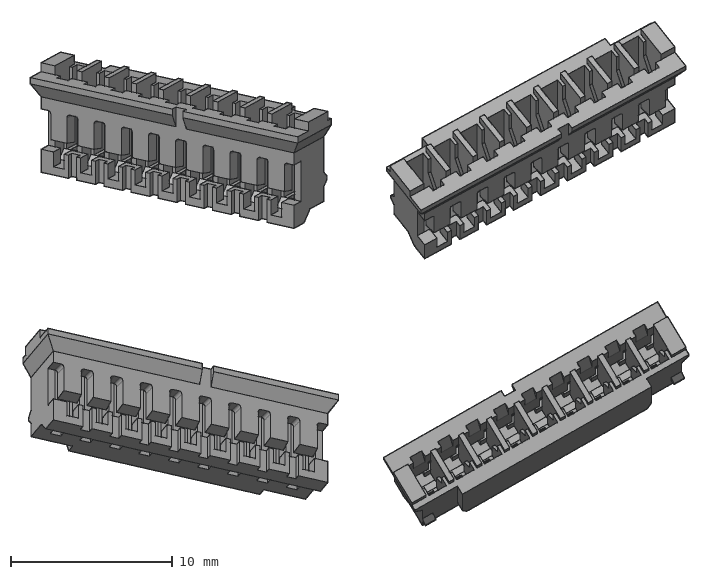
import cadquery as cq
import math

pitch = 2.0
cell_count = 9
cell_xs = [(i - (cell_count - 1) / 2) * pitch for i in range(cell_count)]
wall_xs = [(i - cell_count / 2) * pitch for i in range(1, cell_count)]

body_length = 18.62
body_front = -1.83
body_back = 1.64
body_bottom = 0.7
ledge_top = 1.54
heel_start = 0.04

flange_length = 19.7
flange_front = -2.25
flange_top = 6.3
flange_edge = 5.9
flange_root = 5.0
wall_top = 6.9
key_width = 0.77
key_x = pitch / 2

plate_length = 13.6
plate_back = 2.25
plate_taper_top = 1.65
plate_taper = 0.32

wall_thickness = 0.35
cell_width = pitch - wall_thickness
cell_front = -1.0
cell_back = 1.26
cell_floor = 0.55
ramp_start = -0.51
pocket_front = 0.04
pocket_width = 1.25
pocket_floor = cell_floor + pocket_front - ramp_start
shoulder_y = 0.69
shoulder_low = 3.7
shoulder_high = 4.8
hole_length = 0.7
hole_width = 0.67
hole_y = 0.47

lead_width = 0.83
lead_front = -1.42
lead_angle = 75

slot_width = 0.8
end_slot_width = 2 * slot_width
slot_taper = 0.05
slot_top = 4.2
slot_radius = 0.2
latch_tip_front = 2.3
latch_tip_back = 2.15

window_width = 0.79
groove_width = 0.61
groove_depth = 0.4

bump_width = 0.75
bump_height = 0.37
bump_low = 1.7
bump_high = 2.64


def centred_box(x, width, y0, y1, z0, z1):
    """Box centred on x, spanning the given Y and Z ranges."""
    middle = (x, (y0 + y1) / 2, (z0 + z1) / 2)
    return cq.Workplane("XY").box(width, y1 - y0, z1 - z0).translate(middle)


def side_prism(points, x, width):
    """Extrude a (Y, Z) outline over a width centred on x."""
    return cq.Workplane("YZ", origin=(x - width / 2, 0, 0)).polyline(points).close().extrude(width)


def body():
    """Plain housing block with a sloping underside behind the ledge."""
    outline = [
        (body_front, 0),
        (heel_start - body_bottom, 0),
        (heel_start, body_bottom),
        (body_back, body_bottom),
        (body_back, flange_top),
        (body_front, flange_top),
    ]
    return side_prism(outline, 0, body_length)


def flange():
    """Rim with a bevel below it on the front and both ends, and a key gap in the front."""
    def outline(length, front, z):
        half = length / 2
        corners = [(-half, front, z), (half, front, z), (half, body_back, z), (-half, body_back, z)]
        return cq.Wire.makePolygon([cq.Vector(*corner) for corner in corners], close=True)

    rim = centred_box(0, flange_length, flange_front, body_back, flange_edge, flange_top)
    bevel_bottom = outline(body_length, body_front, flange_root)
    bevel_top = outline(flange_length, flange_front, flange_edge)
    bevel = cq.Workplane(cq.Solid.makeLoft([bevel_bottom, bevel_top], True))
    key = centred_box(key_x, key_width, flange_front, body_front, flange_root, flange_top)
    return rim.union(bevel).cut(key)


def rear_plate():
    """Plate on the back whose ends taper inwards near the bottom."""
    half = plate_length / 2
    outline = [
        (-half, flange_top),
        (-half, plate_taper_top),
        (-half + plate_taper, body_bottom),
        (half - plate_taper, body_bottom),
        (half, plate_taper_top),
        (half, flange_top),
    ]
    thickness = plate_back - body_back
    return cq.Workplane("XZ", origin=(0, plate_back, 0)).polyline(outline).close().extrude(thickness)


def bump(x):
    """Retaining bump with 45 degree flanks on the back face."""
    tip = body_back + bump_height
    outline = [
        (body_back, bump_low),
        (tip, bump_low + bump_height),
        (tip, bump_high - bump_height),
        (body_back, bump_high),
    ]
    return side_prism(outline, x, bump_width)


def cell(x):
    """Space for one terminal: open bay, narrower rear pocket, lead-in groove, window and contact hole."""
    bay = [
        (cell_front, flange_top),
        (cell_front, cell_floor),
        (ramp_start, cell_floor),
        (pocket_front, pocket_floor),
        (pocket_front, shoulder_low),
        (shoulder_y, shoulder_high),
        (shoulder_y, flange_top),
    ]
    lead_depth = (cell_front - lead_front) * math.tan(math.radians(lead_angle))
    lead = [(lead_front, flange_top), (cell_front, flange_top - lead_depth), (cell_front, flange_top)]
    space = side_prism(bay, x, cell_width)
    space = space.union(centred_box(x, pocket_width, pocket_front, cell_back, pocket_floor, flange_top))
    space = space.union(side_prism(lead, x, lead_width))
    space = space.union(centred_box(x, window_width, body_front, cell_front, cell_floor, ledge_top))
    hole_front = hole_y - hole_width / 2
    return space.union(centred_box(x, hole_length, hole_front, hole_front + hole_width, 0, pocket_floor))


def latch_slot(x, width):
    """Gap beside a latch arm, rounded at the top and narrowing towards the back."""
    def mouth(half, y):
        corner_z = slot_top - slot_radius
        outline = (
            cq.Workplane("XZ", origin=(x, y, 0))
            .moveTo(-half, ledge_top)
            .lineTo(half, ledge_top)
            .lineTo(half, corner_z)
            .radiusArc((half - slot_radius, slot_top), -slot_radius)
            .lineTo(-half + slot_radius, slot_top)
            .radiusArc((-half, corner_z), -slot_radius)
            .close()
        )
        return outline.wire().val()

    front = mouth(width / 2, body_front)
    back = mouth(width / 2 - slot_taper, cell_front)
    return cq.Workplane(cq.Solid.makeLoft([front, back], True))


def latch_tip_gap():
    """Opening between the ledge and the sloping tips of the latch arms."""
    outline = [
        (body_front, ledge_top),
        (cell_front, ledge_top),
        (cell_front, latch_tip_back),
        (body_front, latch_tip_front),
    ]
    return side_prism(outline, 0, body_length)


bump_x = (body_length - bump_width) / 2
result = body().union(flange()).union(rear_plate())
for side in (-1, 1):
    result = result.union(bump(side * bump_x))

for x in cell_xs:
    result = result.cut(cell(x))

post_length = (flange_length - cell_count * pitch + wall_thickness) / 2
post_x = (flange_length - post_length) / 2
uprights = [(x, wall_thickness) for x in wall_xs]
uprights += [(-post_x, post_length), (post_x, post_length)]
for x, width in uprights:
    result = result.union(centred_box(x, width, cell_front, cell_back, flange_top, wall_top))

result = result.cut(latch_tip_gap())
for x in wall_xs:
    result = result.cut(latch_slot(x, slot_width))
    result = result.cut(centred_box(x, groove_width, body_front, body_front + groove_depth, 0, ledge_top))

end_slot_x = cell_count * pitch / 2 - slot_width / 2 + end_slot_width / 2
for side in (-1, 1):
    result = result.cut(latch_slot(side * end_slot_x, end_slot_width))